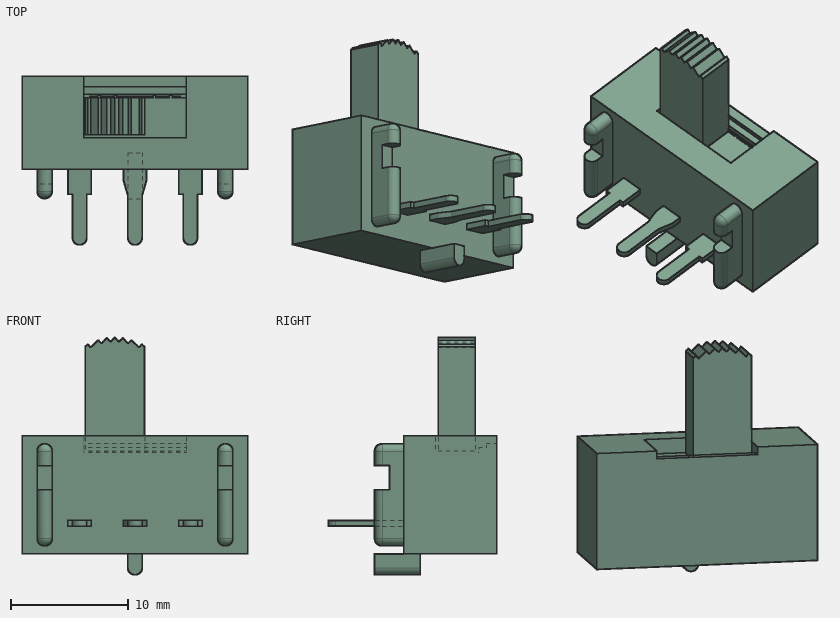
import cadquery as cq


body_width = 19.3
body_depth = 7.97
body_height = 10.1

window_width = 8.8
window_depth = 5.26
lever_floor_depth = 1.28
rail_width = 0.9
rail_top_depth = 0.67
shelf_width = 0.65
shelf_depth = 1.0
groove_width = 0.3
groove_depth = 1.42

strip_width = 7.76
strip_thickness = 0.15
strip_top_depth = 1.35
nub_offsets = (1.67, 3.07)
nub_width = 0.25
nub_reach = 0.2

lever_width = 5.08
lever_depth = 3.17
lever_height = 8.41
lever_offset = -1.73
lever_back_gap = 1.85
lever_edge_drop = 0.81
serration_half = [(0.35, 0.39), (0.7, 0.06), (1.14, 0.53), (1.42, 0.25), (2.07, 0.87), (2.3, 0.59)]

rib_spacing = 15.45
rib_width = 1.3
rib_height = 8.74
rib_top_gap = 0.7
rib_reach = 2.5
rib_notch_reach = 1.22
rib_notch_height = 2.05
rib_notch_gap = 2.56

pin_pitch = 4.73
pin_reach = 6.46
pin_thickness = 0.5
pin_bottom = 2.35
pin_width = 1.24
pin_base_width = 2.0
pin_base_reach = 2.13
taper_start = 0.93
taper_end = 2.24

tab_width = 1.25
tab_drop = 1.8
tab_overlap = 1.42


def block(x_min, x_max, y_min, y_max, z_min, z_max):
    """Box between the given limits."""
    size = (x_max - x_min, y_max - y_min, z_max - z_min)
    return cq.Workplane("XY").box(*size, centered=False).translate((x_min, y_min, z_min))


def housing():
    """Rectangular housing with the stepped window for the lever."""
    shelf_front = body_depth - rail_width - shelf_width
    levels = [
        (body_depth - window_depth, shelf_front - groove_width, lever_floor_depth),
        (shelf_front - groove_width, shelf_front, groove_depth),
        (shelf_front, body_depth - rail_width, shelf_depth),
        (body_depth - rail_width, body_depth, rail_top_depth),
    ]
    body = block(-body_width / 2, body_width / 2, 0, body_depth, 0, body_height)
    for front, back, depth in levels:
        half = window_width / 2
        body = body.cut(block(-half, half, front, back, body_height - depth, body_height))
    return body


def contact_strip():
    """Strip along the front wall of the groove, with nubs set symmetrically along it."""
    front = body_depth - rail_width - shelf_width - groove_width
    foot = body_height - groove_depth
    strip_top = body_height - strip_top_depth
    nub_top = body_height - lever_floor_depth
    strip = block(-strip_width / 2, strip_width / 2, front, front + strip_thickness, foot, strip_top)
    for offset in nub_offsets:
        for x in (-offset, offset):
            nub = block(x - nub_width / 2, x + nub_width / 2, front, front + nub_reach, foot, nub_top)
            strip = strip.union(nub)
    return strip


def lever():
    """Lever rising from the window floor, with symmetric serrations across its top."""
    half = lever_width / 2
    top = body_height + lever_height
    foot = body_height - groove_depth
    edge = top - lever_edge_drop
    left_teeth = [(-x, top - drop) for x, drop in reversed(serration_half)]
    right_teeth = [(x, top - drop) for x, drop in serration_half]
    outline = [(-half, foot), (-half, edge), *left_teeth, (0, top), *right_teeth, (half, edge), (half, foot)]
    back = body_depth - lever_back_gap
    stem = cq.Workplane("XZ").polyline(outline).close().extrude(lever_depth)
    return stem.translate((lever_offset, back, 0))


def rib(x):
    """Stand-off rib with fully rounded edges and a notch in its front."""
    radius = rib_width / 2
    top = body_height - rib_top_gap
    bottom = top - rib_height
    ball_y = radius - rib_reach
    shape = block(x - radius, x + radius, ball_y, 0, bottom + radius, top - radius)
    edge = cq.Workplane("XY").circle(radius).extrude(rib_height - 2 * radius)
    shape = shape.union(edge.translate((x, ball_y, bottom + radius)))
    for z in (bottom + radius, top - radius):
        bar = cq.Workplane("XZ").circle(radius).extrude(-ball_y)
        ball = cq.Workplane("XY").sphere(radius)
        shape = shape.union(bar.translate((x, 0, z)))
        shape = shape.union(ball.translate((x, ball_y, z)))
    notch_top = body_height - rib_notch_gap
    notch_bottom = notch_top - rib_notch_height
    notch = block(x - radius, x + radius, -rib_reach, -rib_notch_reach, notch_bottom, notch_top)
    return shape.cut(notch)


def pin(x, shoulder_start, shoulder_end):
    """Flat round-ended terminal that narrows between the two shoulder distances."""
    half = pin_width / 2
    base_half = pin_base_width / 2
    tip_start = half - pin_reach
    outline = (
        cq.Workplane("XY")
        .moveTo(-base_half, 0)
        .lineTo(-base_half, -shoulder_start)
        .lineTo(-half, -shoulder_end)
        .lineTo(-half, tip_start)
        .threePointArc((0, -pin_reach), (half, tip_start))
        .lineTo(half, -shoulder_end)
        .lineTo(base_half, -shoulder_start)
        .lineTo(base_half, 0)
        .close()
    )
    return outline.extrude(pin_thickness).translate((x, 0, pin_bottom))


def tab():
    """Round-bottomed tab under the housing, reaching forward as far as the ribs."""
    half = tab_width / 2
    round_start = half - tab_drop
    outline = (
        cq.Workplane("XZ")
        .moveTo(-half, 0)
        .lineTo(-half, round_start)
        .threePointArc((0, -tab_drop), (half, round_start))
        .lineTo(half, 0)
        .close()
    )
    return outline.extrude(tab_overlap + rib_reach).translate((0, tab_overlap, 0))


result = housing().union(contact_strip()).union(lever()).union(tab())
for side in (-1, 1):
    result = result.union(rib(side * rib_spacing / 2))
    result = result.union(pin(side * pin_pitch, pin_base_reach, pin_base_reach))
result = result.union(pin(0, taper_start, taper_end))